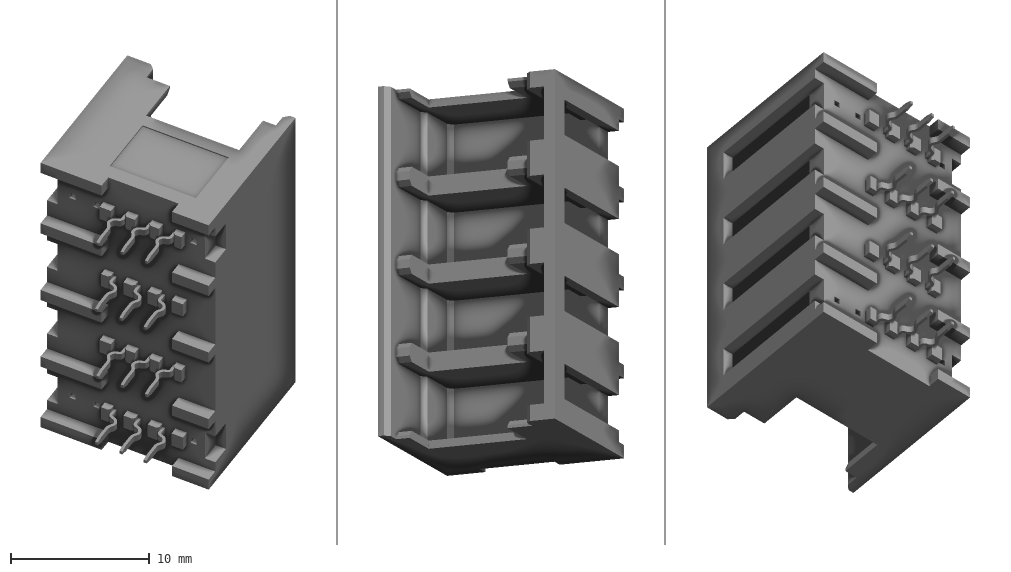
import cadquery as cq


width = 13.8
height = 25.9
depth = 12.02
row_pitch = 6.53
row_count = 4
floor_thickness = 1.6
lead_in = 0.4

left_wall_edge = 2.33
right_wall_edge = 12.95
plate_setback = 1.37
notch_left = 4.25
notch_right = 11.9
notch_depth = 4.95

cavity_height = 5.1
channel_height = 3.9
right_wall_step = 6.09

wall_thickness = 0.85
window_height = 2.62
window_end = 10.18
notch_height = 2.55

foot_height = 0.98
foot_thickness = 0.98
left_foot_end = 5.02
right_foot_start = 10.8

peg_hole_size = 0.5
peg_hole_depth = 0.52
peg_hole_places = (2.1, 4.07, 12.02)
panel_left = 4.53
panel_right = 11.6
panel_front = 1.11
panel_back = 6.03
panel_depth = 0.1

contact_pitch = 2.0
contact_count = 3
contact_centre = 8.05
pin_thickness = 0.23
pin_height = 0.55
pin_length = 3.57
pin_root = 0.47
pin_straight = 0.57
pin_cross = 0.93
pin_bow = 0.23
pin_bow_place = 1.4
pin_tail = 0.05
pin_tail_start = 2.07
tip_length = 0.55
tip_height = 0.25

block_length = 0.6
block_height = 1.2
block_width = 0.88
last_block_width = 0.73
first_block_width = 0.93
first_block_offset = 1.42
block_chamfer = 0.18
anchor = 0.25

row_heights = [(i - (row_count - 1) / 2) * row_pitch for i in range(row_count)]
end_rows = (row_heights[0], row_heights[-1])
foot_heights = [i * row_pitch for i in range(1 - row_count // 2, row_count // 2)]
end_foot_height = (height - foot_thickness) / 2
foot_heights += [-end_foot_height, end_foot_height]


def box(x_range, y_range, z_range):
    """Box spanning the given (low, high) pairs."""
    size = [high - low for low, high in (x_range, y_range, z_range)]
    corner = (x_range[0], y_range[0], z_range[0])
    return cq.Workplane("XY").box(*size, centered=False).translate(corner)


def around(middle, size):
    return (middle - size / 2, middle + size / 2)


def housing_block():
    """Solid block with the stepped mating side."""
    plate_edge = depth - plate_setback
    outline = [
        (0, 0),
        (width, 0),
        (width, depth),
        (right_wall_edge + lead_in, depth),
        (right_wall_edge, depth - lead_in),
        (right_wall_edge, plate_edge),
        (notch_right, plate_edge),
        (notch_right, depth - notch_depth),
        (notch_left, depth - notch_depth),
        (notch_left, plate_edge),
        (left_wall_edge, plate_edge),
        (left_wall_edge, depth - lead_in),
        (left_wall_edge - lead_in, depth),
        (0, depth),
    ]
    return cq.Workplane("XY").polyline(outline).close().extrude(height / 2, both=True)


def row_cavity(z):
    """Contact cavity, its bevelled mouth, keying channel and side window of one row."""
    inner_right = right_wall_edge - lead_in
    outline = [
        (left_wall_edge, floor_thickness),
        (inner_right - lead_in, floor_thickness),
        (inner_right, floor_thickness + lead_in),
        (inner_right, right_wall_step - lead_in),
        (right_wall_edge, right_wall_step),
        (right_wall_edge, depth),
        (left_wall_edge, depth),
    ]
    cavity = cq.Workplane("XY").polyline(outline).close().extrude(cavity_height / 2, both=True)

    mouth = depth - plate_setback
    half = cavity_height / 2
    bevel = [
        (mouth - lead_in, -half),
        (mouth, -half - lead_in),
        (mouth, half + lead_in),
        (mouth - lead_in, half),
    ]
    bevelled_mouth = (
        cq.Workplane("YZ", origin=(left_wall_edge, 0, 0))
        .polyline(bevel)
        .close()
        .extrude(right_wall_edge - left_wall_edge)
    )

    channel_span = (wall_thickness, left_wall_edge)
    channel = box(channel_span, (floor_thickness, depth), around(0, channel_height))
    window = box((0, wall_thickness), (0, window_end), around(0, window_height))
    return cavity.union(bevelled_mouth).union(channel).union(window).translate((0, 0, z))


def end_row_recesses(z):
    """Corner notch on the right and blind peg holes in the board face."""
    notch_span = (width - wall_thickness, width)
    recesses = box(notch_span, (0, floor_thickness), around(z, notch_height))
    for x in peg_hole_places:
        hole = box(around(x, peg_hole_size), (0, peg_hole_depth), around(z, peg_hole_size))
        recesses = recesses.union(hole)
    return recesses


def foot_pair(z):
    span = around(z, foot_thickness)
    left_foot = box((0, left_foot_end), (-foot_height, 0), span)
    right_foot = box((right_foot_start, width), (-foot_height, 0), span)
    return left_foot.union(right_foot)


def pin():
    """Bent press-fit pin about the contact axis x = 0, tapered at its tip."""
    path = (
        cq.Workplane("XY")
        .moveTo(pin_root, anchor)
        .lineTo(pin_root, -pin_straight)
        .spline(
            [(0, -pin_cross), (-pin_bow, -pin_bow_place), (pin_tail, -pin_tail_start)],
            tangents=[(0, -1), (0, -1)],
            includeCurrent=True,
        )
        .lineTo(pin_tail, -pin_length)
    )
    bar = (
        cq.Workplane("XZ", origin=(pin_root, anchor, 0))
        .rect(pin_thickness, pin_height)
        .sweep(path)
    )
    taper_start = tip_length - pin_length
    side = [
        (anchor, pin_height / 2),
        (taper_start, pin_height / 2),
        (-pin_length, tip_height / 2),
        (-pin_length, -tip_height / 2),
        (taper_start, -pin_height / 2),
        (anchor, -pin_height / 2),
    ]
    reach = pin_root + pin_thickness
    tapered_slab = cq.Workplane("YZ").polyline(side).close().extrude(reach, both=True)
    return bar.intersect(tapered_slab)


def support_block(left, block_span):
    return box((left, left + block_span), (-block_length, anchor), around(0, block_height))


def contact_row():
    """Pins with a support block beside each one, plus a lone block at the row start."""
    first_axis = contact_centre - (contact_count - 1) / 2 * contact_pitch
    row = support_block(first_axis - first_block_offset, first_block_width)
    for i in range(contact_count):
        axis = first_axis + i * contact_pitch
        span = last_block_width if i == contact_count - 1 else block_width
        block = support_block(axis + pin_root + pin_thickness / 2, span)
        block = block.faces("<Y").edges("<X").chamfer(block_chamfer)
        row = row.union(block).union(pin().translate((axis, 0, 0)))
    return row


body = housing_block()
for z in row_heights:
    body = body.cut(row_cavity(z))
for z in end_rows:
    body = body.cut(end_row_recesses(z))
for z in foot_heights:
    body = body.union(foot_pair(z))

label_panel = box(
    (panel_left, panel_right), (panel_front, panel_back), (height / 2 - panel_depth, height / 2)
)
body = body.cut(label_panel)

plain_row = contact_row()
mirrored_row = plain_row.mirror("YZ", (contact_centre, 0, 0))
for i, z in enumerate(row_heights):
    contacts = mirrored_row if i % 2 == 0 else plain_row
    body = body.union(contacts.translate((0, 0, z)))

result = body